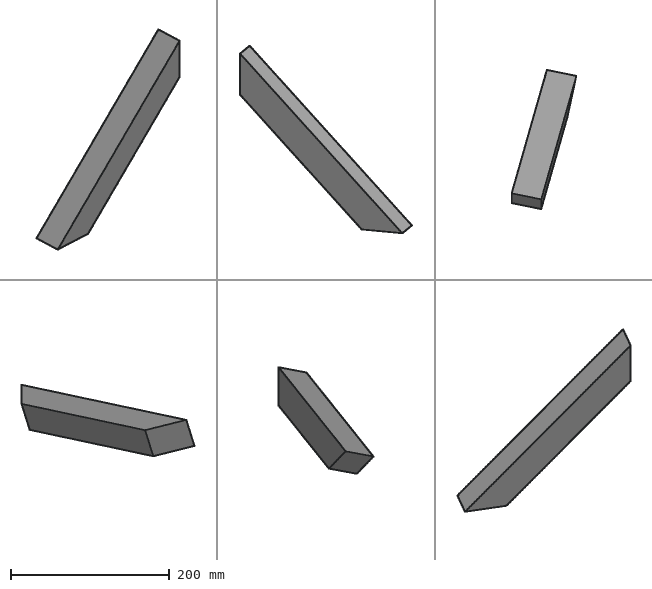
import cadquery as cq

span = 215.5
width = 38.1
cut_length = 53.9

outline = [
    (0, 0),
    (cut_length, 0),
    (span, span - cut_length),
    (span, span),
]

result = (
    cq.Workplane("YZ")
    .polyline(outline)
    .close()
    .extrude(width / 2, both=True)
)